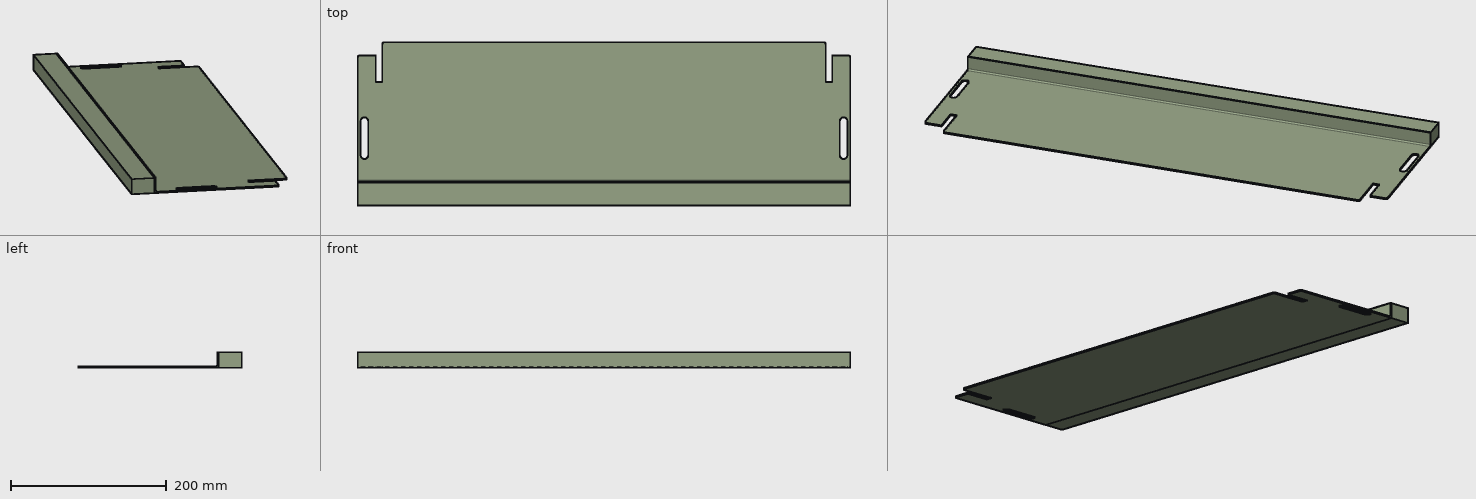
import cadquery as cq

LENGTH = 633.0
DEPTH = 210.0
HEIGHT = 20.0

SHEET = 2.0
BEND_RADIUS = 2.0
BAR_DEPTH = 30.0

TAB_WIDTH = 23.5
TAB_SETBACK = 17.0
NOTCH_WIDTH = 8.0
NOTCH_END = 51.0
CORNER_RADIUS = 3.0

SLOT_LENGTH = 53.0
SLOT_WIDTH = 9.5
SLOT_END_DISTANCE = 9.0
SLOT_REAR_DISTANCE = 123.5

HALF_LENGTH = LENGTH / 2
FLANGE_FRONT = BAR_DEPTH


def make_sheet():
    """Flat shelf with notched rear corners, two slots and an upturned front flange."""
    tab_inner = HALF_LENGTH - TAB_WIDTH
    panel_half = tab_inner - NOTCH_WIDTH
    tab_rear = DEPTH - TAB_SETBACK
    notch_floor = DEPTH - NOTCH_END

    right_outline = [
        (HALF_LENGTH, FLANGE_FRONT),
        (HALF_LENGTH, tab_rear),
        (tab_inner, tab_rear),
        (tab_inner, notch_floor),
        (panel_half, notch_floor),
        (panel_half, DEPTH),
    ]
    left_outline = [(-x, y) for x, y in reversed(right_outline)]
    shelf = cq.Workplane("XY").polyline(right_outline + left_outline).close().extrude(SHEET)

    rounded_corners = [
        (side * x, y)
        for side in (-1, 1)
        for x, y in ((HALF_LENGTH, tab_rear), (panel_half, DEPTH))
    ]
    for x, y in rounded_corners:
        nearest_edge = cq.selectors.NearestToPointSelector((x, y, SHEET / 2))
        shelf = shelf.edges("|Z").edges(nearest_edge).fillet(CORNER_RADIUS)

    slot_x = HALF_LENGTH - SLOT_END_DISTANCE
    slot_y = DEPTH - SLOT_REAR_DISTANCE
    slots = (
        cq.Workplane("XY")
        .pushPoints([(-slot_x, slot_y), (slot_x, slot_y)])
        .slot2D(SLOT_LENGTH, SLOT_WIDTH, angle=90)
        .extrude(SHEET)
    )

    flange = (
        cq.Workplane("XY")
        .box(LENGTH, SHEET, HEIGHT, centered=(True, False, False))
        .translate((0, FLANGE_FRONT, 0))
    )
    bend_edge = cq.selectors.NearestToPointSelector((0, FLANGE_FRONT + SHEET, SHEET))
    return shelf.cut(slots).union(flange).edges(bend_edge).fillet(BEND_RADIUS)


def make_bar():
    """Plain rectangular bar lying against the front of the flange."""
    return cq.Workplane("XY").box(LENGTH, BAR_DEPTH, HEIGHT, centered=(True, False, False))


sheet = make_sheet()
bar = make_bar()

result = cq.Compound.makeCompound([sheet.val(), bar.val()])